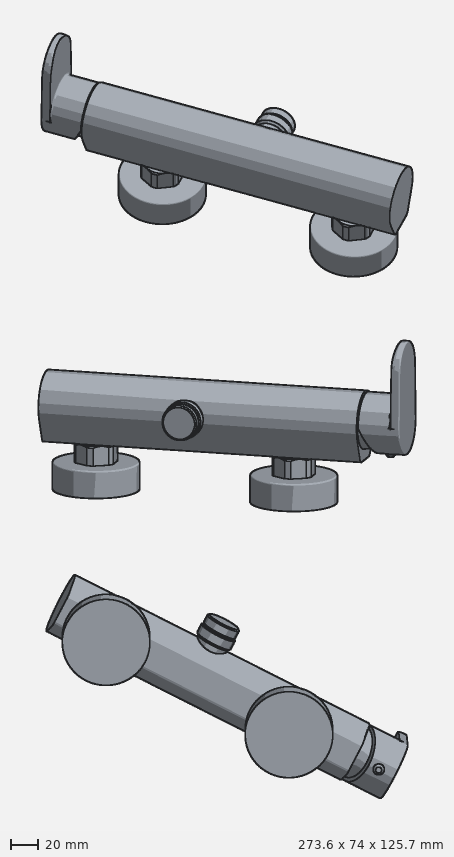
import cadquery as cq
import math


BAR_LENGTH = 241.3
BAR_RADIUS = 46.2 / 2
BAR_BOTTOM = -28.2
BAR_FLANK_ANGLE = 25
BAR_EDGE_RADIUS = 4.7

UNION_SPACING = 150.0
FIRST_UNION_X = 54.2
ROSETTE_RADIUS = 32.0
ROSETTE_BOTTOM = -63.2
ROSETTE_HEIGHT = 20.5
ROSETTE_EDGE = 1.5
NUT_ACROSS_FLATS = 29.5
NUT_CORNER_RADIUS = 16.0
NUT_CHAMFER = 1.0

OUTLET_END = 42.0
OUTLET_NECK_RADIUS = 12.0
OUTLET_GROOVE_RADIUS = 12.3
OUTLET_COLLAR_RADIUS = 27.5 / 2
OUTLET_COLLAR_CHAMFER = 1.6
OUTLET_COLLAR_START = 24.5
OUTLET_COLLAR_END = 33.0
OUTLET_RING_RADIUS = 26.0 / 2
OUTLET_RING_CHAMFER = 1.0
OUTLET_RING_START = 34.0

NECK_BASE_RADIUS = 20.0
NECK_TIP_RADIUS = 18.0
NECK_LENGTH = 11.8

HANDLE_FRONT = -32.3
HANDLE_BACK = -1.0
HANDLE_RADIUS = 44.5 / 2
HANDLE_RELIEF_DEPTH = 10.5
PLATE_THICKNESS = 6.8
PLATE_BACK = HANDLE_FRONT + PLATE_THICKNESS
PLATE_TOP = 62.5
PLATE_TIP_RADIUS = 20.8
PLATE_FRONT_EDGE = 1.0
PLATE_BACK_EDGE_DEPTH = 2.7
PLATE_BACK_EDGE_WIDTH = 0.5
PLATE_TAPER_START = 48.0
PLATE_TIP_THINNING = 1.6
FLARE_RADIUS = 1.5
OVERHANG_BOTTOM = 1.5
SCREW_X = -19.5
SCREW_RADIUS = 4.0
SCREW_TIP_RADIUS = 2.2
SCREW_HEIGHT = 2.5


def make_bar():
    """Round bar whose lower half narrows along two tangent flanks to a flat underside."""
    flank = math.radians(BAR_FLANK_ANGLE)
    tangent_y = BAR_RADIUS * math.cos(flank)
    tangent_z = -BAR_RADIUS * math.sin(flank)
    bottom_y = tangent_y - (tangent_z - BAR_BOTTOM) * math.tan(flank)
    bar = (
        cq.Workplane("YZ")
        .moveTo(-tangent_y, tangent_z)
        .threePointArc((0, BAR_RADIUS), (tangent_y, tangent_z))
        .lineTo(bottom_y, BAR_BOTTOM)
        .lineTo(-bottom_y, BAR_BOTTOM)
        .close()
        .extrude(BAR_LENGTH)
    )
    return bar.edges("|X").edges("<Z").fillet(BAR_EDGE_RADIUS)


def make_wall_union(x):
    """Rosette and hexagon nut below the bar."""
    rosette = (
        cq.Workplane("XY", origin=(x, 0, ROSETTE_BOTTOM))
        .circle(ROSETTE_RADIUS)
        .extrude(ROSETTE_HEIGHT)
        .faces(">Z")
        .edges()
        .fillet(ROSETTE_EDGE)
    )
    nut_bottom = ROSETTE_BOTTOM + ROSETTE_HEIGHT
    nut_height = BAR_BOTTOM - nut_bottom
    hexagon_diameter = NUT_ACROSS_FLATS / math.cos(math.pi / 6)
    hexagon = (
        cq.Workplane("XY", origin=(x, 0, nut_bottom))
        .transformed(rotate=(0, 0, 30))
        .polygon(6, hexagon_diameter)
        .extrude(nut_height)
    )
    turned_blank = (
        cq.Workplane("XY", origin=(x, 0, nut_bottom))
        .circle(NUT_CORNER_RADIUS)
        .extrude(nut_height)
        .faces(">Z")
        .edges()
        .chamfer(NUT_CHAMFER)
    )
    return rosette.union(hexagon.intersect(turned_blank))


def make_outlet(x):
    """Stepped outlet fitting turned about an axis along Y, rooted on the bar axis."""
    ring_end_radius = OUTLET_RING_RADIUS - OUTLET_RING_CHAMFER
    return (
        cq.Workplane("XY", origin=(x, 0, 0))
        .moveTo(0, 0)
        .lineTo(OUTLET_NECK_RADIUS, 0)
        .lineTo(OUTLET_NECK_RADIUS, OUTLET_COLLAR_START)
        .lineTo(OUTLET_COLLAR_RADIUS, OUTLET_COLLAR_START + OUTLET_COLLAR_CHAMFER)
        .lineTo(OUTLET_COLLAR_RADIUS, OUTLET_COLLAR_END)
        .lineTo(OUTLET_GROOVE_RADIUS, OUTLET_COLLAR_END)
        .lineTo(OUTLET_GROOVE_RADIUS, OUTLET_RING_START)
        .lineTo(OUTLET_RING_RADIUS, OUTLET_RING_START + OUTLET_RING_CHAMFER)
        .lineTo(OUTLET_RING_RADIUS, OUTLET_END - OUTLET_RING_CHAMFER)
        .lineTo(ring_end_radius, OUTLET_END)
        .lineTo(0, OUTLET_END)
        .close()
        .revolve(360, (0, 0, 0), (0, 1, 0))
    )


def make_neck():
    """Tapered cartridge neck on the bar's end; the handle has a matching recess."""
    return (
        cq.Workplane("XY")
        .lineTo(0, NECK_BASE_RADIUS)
        .lineTo(-NECK_LENGTH, NECK_TIP_RADIUS)
        .lineTo(-NECK_LENGTH, 0)
        .close()
        .revolve(360, (0, 0, 0), (1, 0, 0))
    )


def make_valve_body():
    body = make_bar().union(make_neck())
    for union_x in (FIRST_UNION_X, FIRST_UNION_X + UNION_SPACING):
        body = body.union(make_wall_union(union_x))
    return body.union(make_outlet(FIRST_UNION_X + UNION_SPACING / 2))


def make_plate_blank(thickness):
    """Upright slab: a wide lower arc and a smaller arc at the tip, joined by tangent sides."""
    tip_center_z = PLATE_TOP - PLATE_TIP_RADIUS
    side_slope = math.asin((HANDLE_RADIUS - PLATE_TIP_RADIUS) / tip_center_z)
    low_y = HANDLE_RADIUS * math.cos(side_slope)
    low_z = HANDLE_RADIUS * math.sin(side_slope)
    high_y = PLATE_TIP_RADIUS * math.cos(side_slope)
    high_z = tip_center_z + PLATE_TIP_RADIUS * math.sin(side_slope)
    return (
        cq.Workplane("YZ", origin=(HANDLE_FRONT, 0, 0))
        .moveTo(-low_y, low_z)
        .threePointArc((0, -HANDLE_RADIUS), (low_y, low_z))
        .lineTo(high_y, high_z)
        .threePointArc((0, PLATE_TOP), (-high_y, high_z))
        .close()
        .extrude(thickness)
    )


def make_upper_block():
    """Block that covers the stretch where the plate is wider than the cap."""
    return cq.Workplane("XY", origin=(HANDLE_FRONT, 0, OVERHANG_BOTTOM)).box(
        2 * HANDLE_RADIUS, 3 * HANDLE_RADIUS, PLATE_TOP, centered=(True, True, False)
    )


def make_lever_plate():
    """Plate whose back edge is bevelled where it stands out from the cap, thinning towards its tip."""
    plate = make_plate_blank(PLATE_THICKNESS)
    bevelled_plate = plate.faces(">X").edges().chamfer(PLATE_BACK_EDGE_DEPTH, PLATE_BACK_EDGE_WIDTH)
    bevel_waste = plate.cut(bevelled_plate).intersect(make_upper_block())
    plate = plate.cut(bevel_waste)

    taper = (
        cq.Workplane("XZ", origin=(0, HANDLE_RADIUS, 0))
        .moveTo(PLATE_BACK, PLATE_TAPER_START)
        .threePointArc(
            (PLATE_BACK - PLATE_TIP_THINNING / 4, (PLATE_TAPER_START + PLATE_TOP) / 2),
            (PLATE_BACK - PLATE_TIP_THINNING, PLATE_TOP),
        )
        .lineTo(PLATE_BACK, PLATE_TOP)
        .close()
        .extrude(2 * HANDLE_RADIUS)
    )
    return plate.cut(taper)


def make_flare():
    """Concave rounding between the cap and the back of the plate, within the plate's outline."""
    flare_sag = FLARE_RADIUS * (1 - math.sqrt(0.5))
    ring = (
        cq.Workplane("XY")
        .moveTo(PLATE_BACK, 0)
        .lineTo(PLATE_BACK, HANDLE_RADIUS + FLARE_RADIUS)
        .threePointArc(
            (PLATE_BACK + flare_sag, HANDLE_RADIUS + flare_sag),
            (PLATE_BACK + FLARE_RADIUS, HANDLE_RADIUS),
        )
        .lineTo(PLATE_BACK + FLARE_RADIUS, 0)
        .close()
        .revolve(360, (0, 0, 0), (1, 0, 0))
    )
    return ring.intersect(make_upper_block()).intersect(make_plate_blank(PLATE_THICKNESS + FLARE_RADIUS))


def make_cap():
    """Round cap behind the plate, its lower half cut back at a slant."""
    cap = (
        cq.Workplane("YZ", origin=(PLATE_BACK, 0, 0))
        .circle(HANDLE_RADIUS)
        .extrude(HANDLE_BACK - PLATE_BACK)
    )
    relief = (
        cq.Workplane("XZ", origin=(0, HANDLE_RADIUS, 0))
        .moveTo(HANDLE_BACK, 0)
        .lineTo(HANDLE_BACK, -HANDLE_RADIUS)
        .lineTo(HANDLE_BACK - HANDLE_RELIEF_DEPTH, -HANDLE_RADIUS)
        .close()
        .extrude(2 * HANDLE_RADIUS)
    )
    return cap.cut(relief)


def make_screw_boss():
    """Small tapered knob under the cap, running up into its wall."""
    tip_z = -HANDLE_RADIUS - SCREW_HEIGHT
    return (
        cq.Workplane("XZ", origin=(SCREW_X, 0, 0))
        .moveTo(0, tip_z)
        .lineTo(SCREW_TIP_RADIUS, tip_z)
        .lineTo(SCREW_RADIUS, -HANDLE_RADIUS)
        .lineTo(SCREW_RADIUS, -HANDLE_RADIUS + SCREW_RADIUS)
        .lineTo(0, -HANDLE_RADIUS + SCREW_RADIUS)
        .close()
        .revolve(360, (0, 0, 0), (0, 1, 0))
    )


def make_handle():
    shell = make_lever_plate().union(make_cap().union(make_flare()))
    shell = shell.faces("<X").edges().fillet(PLATE_FRONT_EDGE)
    return shell.union(make_screw_boss()).cut(make_neck())


valve_body = make_valve_body()
handle = make_handle()

result = cq.Compound.makeCompound([valve_body.val(), handle.val()])